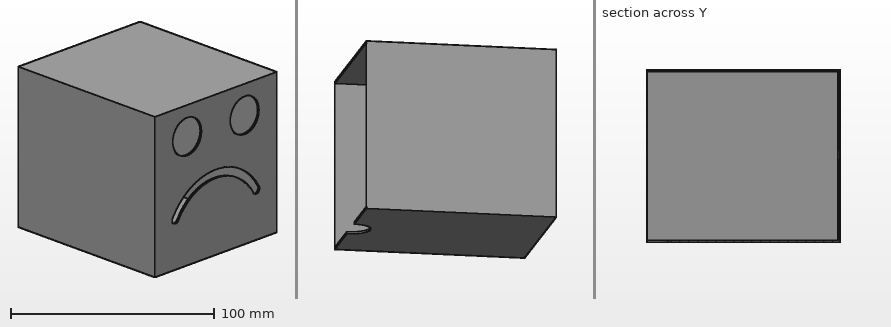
import cadquery as cq
import math

length = 95.0
side = 84.9
wall = 1.0

hole_diameter = 20.0
eye_spacing = 40.0
eye_height = 25.7
mouth_radius = 32.5
mouth_width = 4.6
mouth_center_height = -32.0
mouth_half_angle = 60.0


def mouth_point(radius, angle_from_top):
    """Point in the YZ plane on a circle about the mouth center."""
    angle = math.radians(angle_from_top)
    return (radius * math.sin(angle), mouth_center_height + radius * math.cos(angle))


def make_box():
    outer = cq.Workplane("XY").box(length, side, side)
    cavity = cq.Workplane("XY").box(length, side - 2 * wall, side - 2 * wall)
    return outer.cut(cavity.translate((-wall, 0, 0)))


def make_eyes():
    centers = [(-eye_spacing / 2, eye_height), (eye_spacing / 2, eye_height)]
    return cq.Workplane("YZ").pushPoints(centers).circle(hole_diameter / 2).extrude(length)


def make_mouth():
    """Downturned arc slot with rounded ends."""
    outer = mouth_radius + mouth_width / 2
    inner = mouth_radius - mouth_width / 2
    end = mouth_half_angle
    tip_radius = math.hypot(mouth_radius, mouth_width / 2)
    tip_angle = end + math.degrees(math.atan2(mouth_width / 2, mouth_radius))
    return (
        cq.Workplane("YZ")
        .moveTo(*mouth_point(outer, -end))
        .threePointArc(mouth_point(outer, 0), mouth_point(outer, end))
        .threePointArc(mouth_point(tip_radius, tip_angle), mouth_point(inner, end))
        .threePointArc(mouth_point(inner, 0), mouth_point(inner, -end))
        .threePointArc(mouth_point(tip_radius, -tip_angle), mouth_point(outer, -end))
        .close()
        .extrude(length)
    )


def make_notch():
    """Round finger notch in the bottom wall at the open end."""
    return (
        cq.Workplane("XY", origin=(-length / 2, 0, -side / 2))
        .circle(hole_diameter / 2)
        .extrude(wall)
    )


result = make_box().cut(make_eyes()).cut(make_mouth()).cut(make_notch())